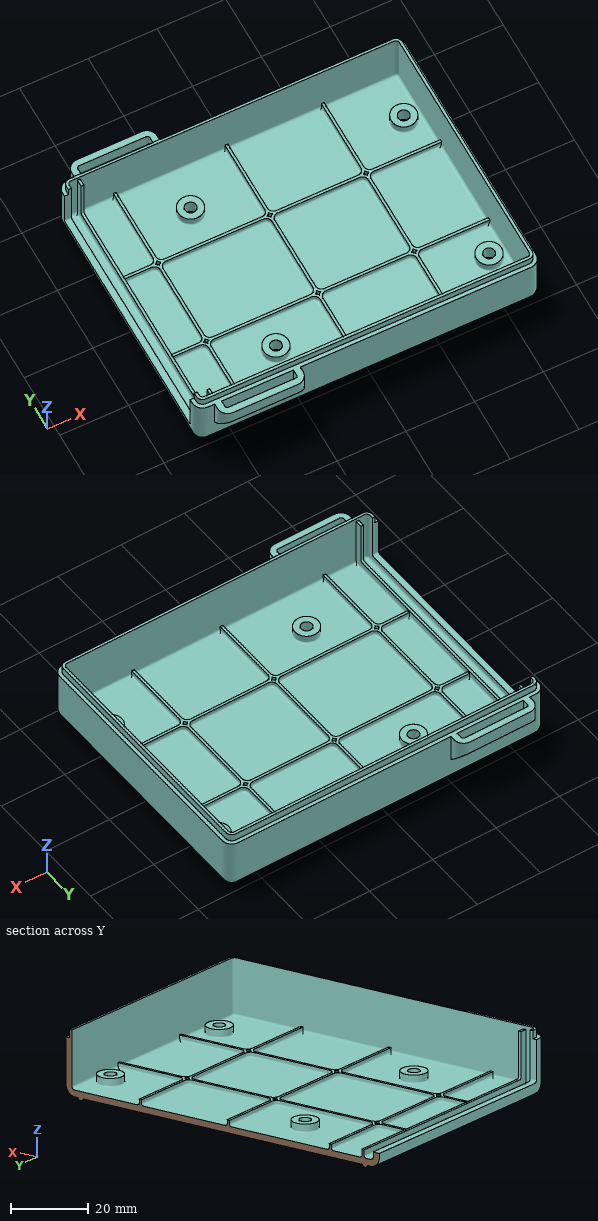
import cadquery as cq

LENGTH = 100.0
WIDTH = 79.0
HEIGHT = 18.2
CORNER_RADIUS = 3.0
WALL = 2.0
FLOOR = 2.0
OVERLAP = 0.5

LIP_HEIGHT = 2.25
LIP_INSET = 1.15

WALL_FILLET = 0.95

SLOT_WIDTH = 2.85
FRAME_DROP = 1.0
OPENING_SIDE = 4.1
OPENING_SILL = 4.2
OPENING_RADIUS = 0.7

RIB_WIDTH = 0.8
RIB_HEIGHT = 1.6
RIB_FILLET = 0.65
RIB_X = (-34.3, -1.8, 26.2)
RIB_Y = (-14.0, 13.1)
CROSSING_RADIUS = 1.7
STAR_FILLET = 0.3

BOSS_X = (-19.2, 42.8)
BOSS_Y = (-24.0, 24.0)
BOSS_DIAMETER = 7.3
BOSS_TOP = 4.5
BOSS_FILLET = 0.5
SCREW_DIAMETER = 3.3

HANDLE_START = 5.0
HANDLE_LENGTH = 24.9
HANDLE_REACH = 4.5
HANDLE_BAR = 2.0
HANDLE_RADIUS = 3.0
HANDLE_SLOT_RADIUS = 0.7
HANDLE_RIM = 4.0

FOOT_HEIGHT = 0.65
FOOT_RADIUS = 1.0
FOOT_INSET_X = 4.7
FOOT_INSET_Y = 5.7

LEDGE = HEIGHT - LIP_HEIGHT
INNER_LENGTH = LENGTH - 2 * WALL
INNER_WIDTH = WIDTH - 2 * WALL
FRAME_START = SLOT_WIDTH - INNER_LENGTH / 2
FRAME_END = FRAME_START + RIB_WIDTH
RIB_TOP = FLOOR + RIB_HEIGHT
ROOT = FLOOR - OVERLAP
FOOT_X = LENGTH / 2 - FOOT_INSET_X
FOOT_Y = WIDTH / 2 - FOOT_INSET_Y


def block(x0, x1, y0, y1, z0, z1):
    """Box given by its limits along the three axes."""
    return cq.Workplane("XY").box(x1 - x0, y1 - y0, z1 - z0, centered=False).translate((x0, y0, z0))


def rounded_column(length, width, z0, z1, radius):
    """Centred box with rounded vertical edges."""
    column = cq.Workplane("XY").workplane(offset=z0).rect(length, width).extrude(z1 - z0)
    return column.edges("|Z").fillet(radius)


def make_shell():
    """Tray body with its lip, hollowed down to the floor."""
    body = cq.Workplane("XY").rect(LENGTH, WIDTH).extrude(LEDGE)
    body = body.edges("|Z or <Z").fillet(CORNER_RADIUS)
    lip_length = LENGTH - 2 * LIP_INSET
    lip_width = WIDTH - 2 * LIP_INSET
    lip = rounded_column(lip_length, lip_width, LEDGE - OVERLAP, HEIGHT, CORNER_RADIUS - LIP_INSET)
    cavity = rounded_column(INNER_LENGTH, INNER_WIDTH, FLOOR, HEIGHT, CORNER_RADIUS - WALL)
    cavity = cavity.faces("<Z").edges().fillet(WALL_FILLET)
    return body.union(lip).cut(cavity)


def make_frame():
    """Upright frame that holds the panel slot open, a little lower than the rim."""
    half_width = INNER_WIDTH / 2 + OVERLAP
    return block(FRAME_START, FRAME_END, -half_width, half_width, FLOOR, HEIGHT - FRAME_DROP)


def make_opening():
    """Cutter for the panel window through the -X wall and the frame."""
    half_width = WIDTH / 2 - OPENING_SIDE
    cutter = block(-LENGTH / 2, FRAME_END, -half_width, half_width, OPENING_SILL, HEIGHT)
    return cutter.edges("|X and <Z").fillet(OPENING_RADIUS)


def make_star():
    """Four-pointed pocket that keeps the rib width constant around the rounded crossing corners."""
    arc_centre = RIB_WIDTH / 2 + CROSSING_RADIUS
    arc_radius = CROSSING_RADIUS + RIB_WIDTH
    star = block(-arc_centre, arc_centre, -arc_centre, arc_centre, FLOOR, RIB_TOP)
    for x in (-arc_centre, arc_centre):
        for y in (-arc_centre, arc_centre):
            star = star.cut(cq.Workplane("XY").center(x, y).circle(arc_radius).extrude(RIB_TOP))
    return star.faces("<Z").edges().fillet(STAR_FILLET)


def make_ribs():
    """Sill of the frame and grid of floor ribs, with filleted roots and rounded crossings."""
    x1 = INNER_LENGTH / 2 + OVERLAP
    y1 = INNER_WIDTH / 2 + OVERLAP
    half_rib = RIB_WIDTH / 2
    crossings = [(x, y) for x in RIB_X for y in RIB_Y]

    ribs = block(FRAME_START - SLOT_WIDTH, x1, -y1, y1, ROOT, FLOOR)
    ribs = ribs.union(block(FRAME_START, FRAME_END, -y1, y1, ROOT, OPENING_SILL))
    for x in RIB_X:
        ribs = ribs.union(block(x - half_rib, x + half_rib, -y1, y1, ROOT, RIB_TOP))
    for y in RIB_Y:
        ribs = ribs.union(block(FRAME_START, x1, y - half_rib, y + half_rib, ROOT, RIB_TOP))

    for x, y in crossings:
        near = cq.selectors.BoxSelector(
            (x - RIB_WIDTH, y - RIB_WIDTH, FLOOR), (x + RIB_WIDTH, y + RIB_WIDTH, RIB_TOP)
        )
        ribs = ribs.edges("|Z").edges(near).fillet(CROSSING_RADIUS)

    margin = OVERLAP / 2
    roots = cq.selectors.BoxSelector(
        (FRAME_START - margin, margin - y1, FLOOR - margin), (x1 - margin, y1 - margin, FLOOR + margin)
    )
    ribs = ribs.edges(roots).fillet(RIB_FILLET)

    for x, y in crossings:
        ribs = ribs.cut(make_star().translate((x, y, 0)))
    return ribs


def make_boss():
    """Screw boss with a filleted root."""
    radius = BOSS_DIAMETER / 2
    root_radius = radius + BOSS_FILLET
    profile = (
        cq.Workplane("XZ")
        .moveTo(0, ROOT)
        .lineTo(root_radius, ROOT)
        .lineTo(root_radius, FLOOR)
        .radiusArc((radius, FLOOR + BOSS_FILLET), BOSS_FILLET)
        .lineTo(radius, BOSS_TOP)
        .lineTo(0, BOSS_TOP)
        .close()
    )
    return profile.revolve(360, (0, 0, 0), (0, 1, 0))


def make_handle():
    """Strap handle on the +Y side with an underside sloping at 45 degrees."""
    x0 = HANDLE_START - LENGTH / 2
    x1 = x0 + HANDLE_LENGTH
    wall_y = WIDTH / 2
    tip_y = wall_y + HANDLE_REACH
    root_y = wall_y - OVERLAP
    rim_z = LEDGE - HANDLE_RIM
    root_z = rim_z - (tip_y - root_y)
    bracket = (
        cq.Workplane("YZ")
        .workplane(offset=x0)
        .polyline([(root_y, LEDGE), (tip_y, LEDGE), (tip_y, rim_z), (root_y, root_z)])
        .close()
        .extrude(HANDLE_LENGTH)
    )
    outer = block(x0, x1, root_y, tip_y, 0, LEDGE).edges("|Z and >Y").fillet(HANDLE_RADIUS)
    slot = block(x0 + HANDLE_BAR, x1 - HANDLE_BAR, wall_y, tip_y - HANDLE_BAR, 0, LEDGE)
    slot = slot.edges("|Z and >Y").fillet(HANDLE_SLOT_RADIUS)
    return bracket.intersect(outer).cut(slot)


def make_foot():
    """Ball whose lowest part stands out below the underside."""
    return cq.Workplane("XY").sphere(FOOT_RADIUS).translate((0, 0, FOOT_RADIUS - FOOT_HEIGHT))


tray = make_shell().union(make_ribs()).union(make_frame()).cut(make_opening())

for x in BOSS_X:
    for y in BOSS_Y:
        screw_hole = cq.Workplane("XY").center(x, y).circle(SCREW_DIAMETER / 2).extrude(HEIGHT)
        tray = tray.union(make_boss().translate((x, y, 0))).cut(screw_hole)

handle = make_handle()
tray = tray.union(handle).union(handle.mirror("XZ"))

for x in (-FOOT_X, FOOT_X):
    for y in (-FOOT_Y, FOOT_Y):
        tray = tray.union(make_foot().translate((x, y, 0)))

result = tray.solids()